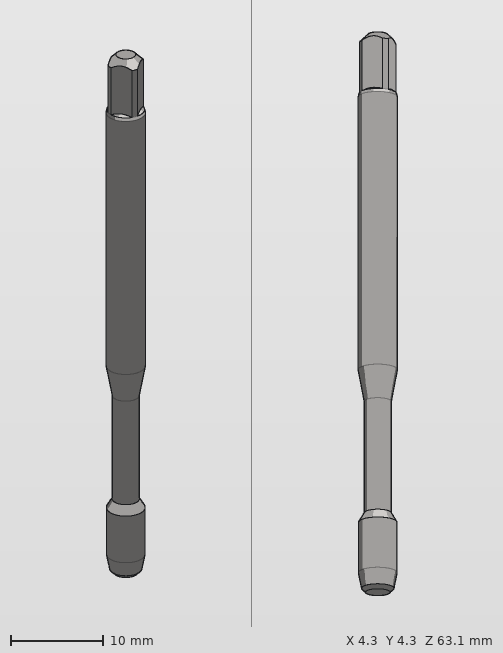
import cadquery as cq

shank_diameter = 4.3
thread_diameter = 4.2
neck_diameter = 2.95
drive_corner_diameter = 4.1
drive_tip_diameter = 2.15
lead_end_diameter = 3.55
tip_diameter = 2.65

drive_across_flats = 3.35

tip_chamfer_top = 0.45
lead_top = 2.2
thread_top = 7.9
head_top = 8.95
neck_top = 21.6
taper_top = 25.2
shank_chamfer_bottom = 56.05
shank_shoulder = 56.4
shank_top = 56.65
overall_length = 63.1

drive_bevel = (drive_corner_diameter - drive_tip_diameter) / 2


def revolve_profile(stations):
    """Turn a solid about Z from (diameter, height) stations listed upwards."""
    first_height = stations[0][1]
    last_height = stations[-1][1]
    outline = [(diameter / 2, height) for diameter, height in stations]
    return (
        cq.Workplane("XZ")
        .polyline([(0, first_height), *outline, (0, last_height)])
        .close()
        .revolve(360, (0, 0, 0), (0, 1, 0))
    )


def make_thread_head():
    """Forming head: chamfered tip, tapered lead, thread cylinder and rear cone."""
    return revolve_profile([
        (tip_diameter, 0),
        (lead_end_diameter, tip_chamfer_top),
        (thread_diameter, lead_top),
        (thread_diameter, thread_top),
        (neck_diameter, head_top),
    ])


def make_square_drive():
    """Square with rounded corners and a conical bevel at its free end.

    It starts at the shank shoulder, so its flats run out on the cone above it.
    """
    round_bar = revolve_profile([
        (drive_corner_diameter, shank_shoulder),
        (drive_corner_diameter, overall_length - drive_bevel),
        (drive_tip_diameter, overall_length),
    ])
    square_bar = (
        cq.Workplane("XY", origin=(0, 0, shank_shoulder))
        .rect(drive_across_flats, drive_across_flats)
        .extrude(overall_length - shank_shoulder)
    )
    return round_bar.intersect(square_bar)


def make_shank():
    """Neck, taper and shank with a two-step conical end, in one piece with the square drive."""
    turned_part = revolve_profile([
        (neck_diameter, head_top),
        (neck_diameter, neck_top),
        (shank_diameter, taper_top),
        (shank_diameter, shank_chamfer_bottom),
        (drive_corner_diameter, shank_shoulder),
        (drive_across_flats, shank_top),
    ])
    return turned_part.union(make_square_drive())


thread_head = make_thread_head()
shank = make_shank()

result = cq.Compound.makeCompound([thread_head.val(), shank.val()])